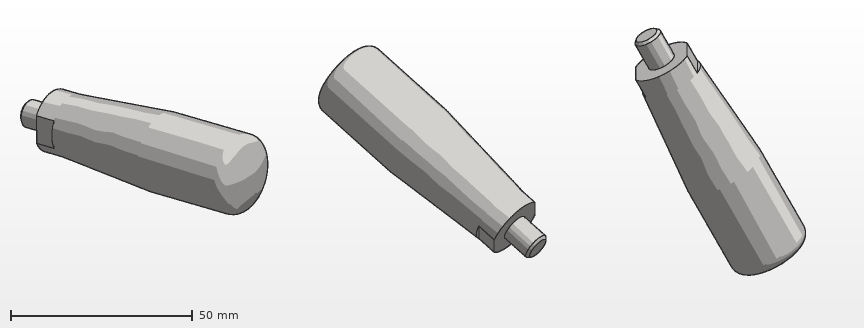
import cadquery as cq
import math

total_length = 77.0
grip_diameter = 23.0
grip_radius = grip_diameter / 2

pin_diameter = 8.0
pin_radius = pin_diameter / 2
pin_length = 9.0
pin_chamfer = 0.8

collar_radius = 18.0 / 2
collar_length = 6.0
across_flats = 16.0

cone_length = 31.35
corner_start_offset = 4.5
corner_radius = 3.0

pin_end = -total_length / 2
collar_start = pin_end + pin_length
cone_start = collar_start + collar_length
cone_end = cone_start + cone_length
tip = total_length / 2
corner_start = tip - corner_start_offset

corner_center_r = grip_radius - corner_radius
inner_reach = corner_start_offset - corner_radius
dome_radius = corner_radius + (inner_reach**2 + corner_center_r**2) / (2 * inner_reach)
dome_center_x = tip - dome_radius
blend_angle = math.atan2(corner_center_r, corner_start - dome_center_x)


def dome_point(angle):
    """Point on the dome arc at an angle from the X axis."""
    return (dome_center_x + dome_radius * math.cos(angle), dome_radius * math.sin(angle))


def corner_point(angle):
    """Point on the corner arc at an angle from the X axis."""
    return (
        corner_start + corner_radius * math.cos(angle),
        corner_center_r + corner_radius * math.sin(angle),
    )


def turned_body():
    """Revolve the half outline of pin, collar and grip about the X axis."""
    return (
        cq.Workplane("XY")
        .moveTo(pin_end, 0)
        .lineTo(pin_end, pin_radius - pin_chamfer)
        .lineTo(pin_end + pin_chamfer, pin_radius)
        .lineTo(collar_start, pin_radius)
        .lineTo(collar_start, collar_radius)
        .lineTo(cone_start, collar_radius)
        .lineTo(cone_end, grip_radius)
        .lineTo(corner_start, grip_radius)
        .threePointArc(corner_point((math.pi / 2 + blend_angle) / 2), dome_point(blend_angle))
        .threePointArc(dome_point(blend_angle / 2), (tip, 0))
        .close()
        .revolve(360, (0, 0, 0), (1, 0, 0))
    )


def flat_cutter(side):
    """Block that removes the collar outside one flat; side is -1 or +1."""
    depth = grip_radius - across_flats / 2
    center_y = side * (across_flats / 2 + depth / 2)
    center_x = collar_start + collar_length / 2
    return cq.Workplane("XY").box(collar_length, depth, grip_diameter).translate((center_x, center_y, 0))


result = turned_body()
for side in (-1, 1):
    result = result.cut(flat_cutter(side))